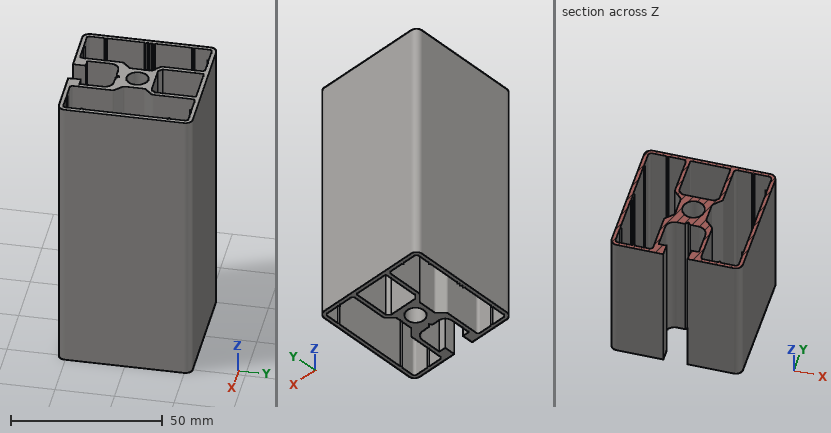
import cadquery as cq

size = 45.0
length = 100.0
half = size / 2
wall = 1.5
outer_radius = 2.5
chamber_radius = outer_radius - wall
inner_face = half - wall

bore_diameter = 7.3
core_half_width = 5.4
web_inner = 6.8
web_outer = web_inner + wall
flare_start = 3.6
flare_end = flare_start + web_outer - core_half_width
bend_radius = 1.0

rear_floor = 5.8
rear_chamfer = 1.3
rear_corner_radius = 0.5

slot_half_opening = 4.1
lip_depth = 4.3
slot_floor = -7.2
slot_radius = 3.1
notch_half_width = 0.8
notch_depth = 1.0

ridge_offset = 14.7
ridge_height = 0.5
ridge_half_width = 0.5
centre_ridge_pitch = 1.4
overlap = 0.2


def extrude(sketch):
    """Close an outline and raise it over the full profile length."""
    return sketch.close().extrude(length)


def side_chamber():
    """Chamber on the -X side; its inner side follows the flared core."""
    chamber = extrude(
        cq.Workplane("XY")
        .moveTo(-inner_face, -inner_face)
        .lineTo(-web_outer, -inner_face)
        .lineTo(-web_outer, -flare_end)
        .lineTo(-core_half_width, -flare_start)
        .lineTo(-core_half_width, flare_start)
        .lineTo(-web_outer, flare_end)
        .lineTo(-web_outer, inner_face)
        .lineTo(-inner_face, inner_face)
    )
    chamber = chamber.faces("<Y or >Y").edges("|Z").fillet(chamber_radius)
    bend_zone = cq.selectors.BoxSelector(
        (-web_outer - overlap, -flare_end - overlap, 0),
        (-core_half_width + overlap, flare_end + overlap, length),
    )
    return chamber.edges("|Z").edges(bend_zone).fillet(bend_radius)


def rear_chamber():
    chamber = extrude(
        cq.Workplane("XY")
        .moveTo(-web_inner, inner_face)
        .lineTo(-web_inner, rear_floor + rear_chamfer)
        .lineTo(-web_inner + rear_chamfer, rear_floor)
        .lineTo(web_inner - rear_chamfer, rear_floor)
        .lineTo(web_inner, rear_floor + rear_chamfer)
        .lineTo(web_inner, inner_face)
    )
    return chamber.faces(">Y").edges("|Z").fillet(rear_corner_radius)


def t_slot():
    """Slot with rounded floor corners and a V-shaped centring notch."""
    lip_face = -half + lip_depth
    return extrude(
        cq.Workplane("XY")
        .moveTo(-slot_half_opening, -half)
        .lineTo(-slot_half_opening, lip_face)
        .lineTo(-web_inner, lip_face)
        .lineTo(-web_inner, slot_floor - slot_radius)
        .radiusArc((-web_inner + slot_radius, slot_floor), slot_radius)
        .lineTo(-notch_half_width, slot_floor)
        .lineTo(0, slot_floor + notch_depth)
        .lineTo(notch_half_width, slot_floor)
        .lineTo(web_inner - slot_radius, slot_floor)
        .radiusArc((web_inner, slot_floor - slot_radius), slot_radius)
        .lineTo(web_inner, lip_face)
        .lineTo(slot_half_opening, lip_face)
        .lineTo(slot_half_opening, -half)
    )


def ridge(offset, turn):
    """Triangular ridge on the +X wall, rooted in it, then turned about Z."""
    root = inner_face + overlap
    return extrude(
        cq.Workplane("XY")
        .moveTo(root, offset - ridge_half_width)
        .lineTo(inner_face, offset - ridge_half_width)
        .lineTo(inner_face - ridge_height, offset)
        .lineTo(inner_face, offset + ridge_half_width)
        .lineTo(root, offset + ridge_half_width)
    ).rotate((0, 0, 0), (0, 0, 1), turn)


profile = cq.Workplane("XY").rect(size, size).extrude(length)
profile = profile.edges("|Z").fillet(outer_radius)

chamber = side_chamber()
profile = profile.cut(chamber).cut(chamber.mirror("YZ"))
profile = profile.cut(rear_chamber()).cut(t_slot())
profile = profile.cut(cq.Workplane("XY").circle(bore_diameter / 2).extrude(length))

for turn in (0, 90, 180, 270):
    for offset in (-ridge_offset, ridge_offset):
        profile = profile.union(ridge(offset, turn))

for step in (-1, 0, 1):
    profile = profile.union(ridge(step * centre_ridge_pitch, 180))

result = profile